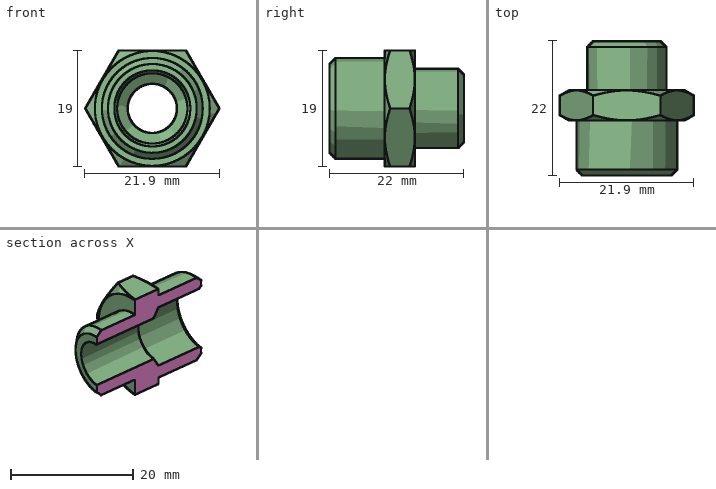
import cadquery as cq
import math

total_length = 22.0
hex_length = 5.0
large_stub_length = 9.0
hex_front = -total_length / 2 + large_stub_length
hex_back = hex_front + hex_length
front_end = -total_length / 2
back_end = total_length / 2

hex_across_flats = 19.0
hex_across_corners = hex_across_flats / math.cos(math.radians(30))
hex_face_diameter = 18.79
hex_chamfer_angle = 30
large_stub_diameter = 16.5
small_stub_diameter = 13.0
end_chamfer = 1.0

through_diameter = 8.0
socket_diameter = 11.48
socket_mouth_diameter = 12.45
socket_depth = large_stub_length
seat_half_angle = 60
mouth_chamfer = (socket_mouth_diameter - socket_diameter) / 2


def revolve_profile(points):
    """Revolve a closed (radius, y) profile about the Y axis."""
    profile = cq.Workplane("XY").polyline(points).close()
    return profile.revolve(360, (0, 0, 0), (0, 1, 0))


def make_hexagon():
    """Hexagon with corners on X, its corners trimmed by a cone at each face."""
    hexagon = (
        cq.Workplane("XZ", origin=(0, hex_back, 0))
        .polygon(6, hex_across_corners)
        .extrude(hex_length)
    )
    face_radius = hex_face_diameter / 2
    corner_radius = hex_across_corners / 2
    corner_drop = (corner_radius - face_radius) * math.tan(math.radians(hex_chamfer_angle))
    envelope = revolve_profile([
        (0, hex_front),
        (face_radius, hex_front),
        (corner_radius, hex_front + corner_drop),
        (corner_radius, hex_back - corner_drop),
        (face_radius, hex_back),
        (0, hex_back),
    ])
    return hexagon.intersect(envelope)


def make_stubs():
    """Both cylindrical stubs, joined through the hexagon, with chamfered ends."""
    large_radius = large_stub_diameter / 2
    small_radius = small_stub_diameter / 2
    return revolve_profile([
        (0, front_end),
        (large_radius - end_chamfer, front_end),
        (large_radius, front_end + end_chamfer),
        (large_radius, hex_front),
        (small_radius, hex_front),
        (small_radius, back_end - end_chamfer),
        (small_radius - end_chamfer, back_end),
        (0, back_end),
    ])


def make_bore():
    """Chamfered socket narrowing through a conical seat to the through bore."""
    socket_radius = socket_diameter / 2
    through_radius = through_diameter / 2
    seat_front = front_end + socket_depth
    seat_length = (socket_radius - through_radius) / math.tan(math.radians(seat_half_angle))
    return revolve_profile([
        (0, front_end),
        (socket_mouth_diameter / 2, front_end),
        (socket_radius, front_end + mouth_chamfer),
        (socket_radius, seat_front),
        (through_radius, seat_front + seat_length),
        (through_radius, back_end),
        (0, back_end),
    ])


result = make_hexagon().union(make_stubs()).cut(make_bore())